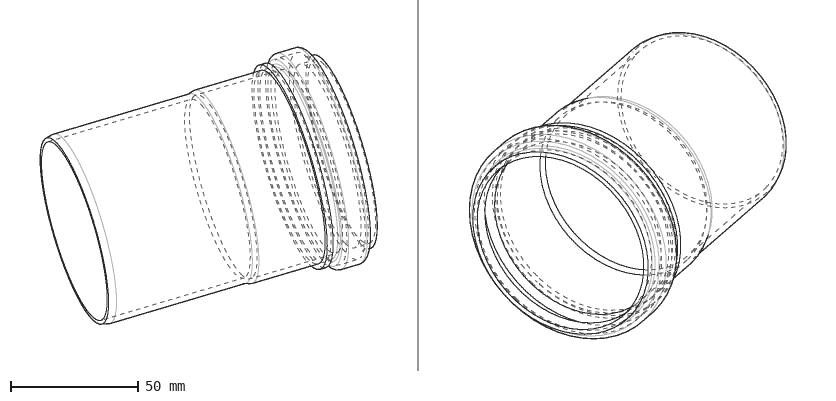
import cadquery as cq

length = 112.5
spigot_bore_diameter = 73.4
spigot_diameter = 78.0

sleeve_wall = 2.0
socket_diameter = 75.5
sleeve_diameter = socket_diameter + 2 * sleeve_wall

lead_in_length = 3.0
lead_in_diameter = 76.5

transition_start = 60.2
transition_length = 2.5

collar_diameter = 84.0
collar_start = 90.6
collar_width = 2.5

bead_diameter = 89.0
bead_start = 96.6
bead_width = 11.8
bead_edge_radius = 2.0
bead_root_radius = 0.8


def disc(diameter, start, width):
    """Solid disc on the Y axis, from Y = start to Y = start + width."""
    plane = cq.Plane(origin=(0, start, 0), xDir=(1, 0, 0), normal=(0, 1, 0))
    return cq.Workplane(plane).circle(diameter / 2).extrude(width)


def make_body():
    """Solid of revolution with the lead-in, spigot, transition and sleeve."""
    spigot_radius = spigot_diameter / 2
    sleeve_radius = sleeve_diameter / 2
    profile = (
        cq.Workplane("XY")
        .lineTo(lead_in_diameter / 2, 0)
        .lineTo(spigot_radius, lead_in_length)
        .lineTo(spigot_radius, transition_start)
        .lineTo(sleeve_radius, transition_start + transition_length)
        .lineTo(sleeve_radius, length)
        .lineTo(0, length)
        .close()
    )
    return profile.revolve(360, (0, 0, 0), (0, 1, 0))


def make_bead():
    """Bead with rounded outer edges and concave fillets down to the sleeve."""
    sleeve_radius = sleeve_diameter / 2
    bead_radius = bead_diameter / 2
    bead_end = bead_start + bead_width
    edge = bead_edge_radius
    root = bead_root_radius
    profile = (
        cq.Workplane("XY")
        .moveTo(0, bead_start - root)
        .lineTo(sleeve_radius, bead_start - root)
        .radiusArc((sleeve_radius + root, bead_start), root)
        .lineTo(bead_radius - edge, bead_start)
        .radiusArc((bead_radius, bead_start + edge), -edge)
        .lineTo(bead_radius, bead_end - edge)
        .radiusArc((bead_radius - edge, bead_end), -edge)
        .lineTo(sleeve_radius + root, bead_end)
        .radiusArc((sleeve_radius, bead_end + root), root)
        .lineTo(0, bead_end + root)
        .close()
    )
    return profile.revolve(360, (0, 0, 0), (0, 1, 0))


def make_cavity():
    """Spigot bore, conical step, wider socket bore and the seal groove in the bead."""
    spigot_bore_radius = spigot_bore_diameter / 2
    socket_radius = socket_diameter / 2
    profile = (
        cq.Workplane("XY")
        .lineTo(spigot_bore_radius, 0)
        .lineTo(spigot_bore_radius, transition_start)
        .lineTo(socket_radius, transition_start + transition_length)
        .lineTo(socket_radius, length)
        .lineTo(0, length)
        .close()
    )
    bore = profile.revolve(360, (0, 0, 0), (0, 1, 0))
    groove_diameter = bead_diameter - 2 * sleeve_wall
    groove = disc(groove_diameter, bead_start + sleeve_wall, bead_width - 2 * sleeve_wall)
    return bore.union(groove)


collar = disc(collar_diameter, collar_start, collar_width)
result = make_body().union(collar).union(make_bead()).cut(make_cavity())